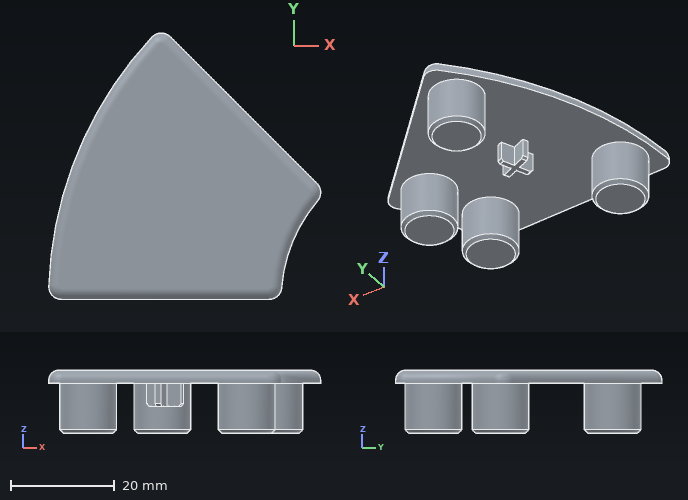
import cadquery as cq
import math

SECTOR_ANGLE = 45.0
OUTER_RADIUS = 74.27
INNER_RADIUS = 29.3
TOTAL_HEIGHT = 12.25
PLATE_THICKNESS = 2.6
CORNER_RADIUS = 2.5
TOP_FILLET = 2.0

PEG_DIAMETER = 11.0
PEG_LENGTH = TOTAL_HEIGHT - PLATE_THICKNESS
PEG_CHAMFER = 0.75
PEG_EDGE_OFFSET = 7.33
OUTER_PEG_DISTANCE = 66.6
INNER_PEG_DISTANCE = 36.0

CROSS_CENTRE_RADIUS = 56.0
CROSS_SPAN = 7.2
CROSS_ARM_WIDTH = 1.2
CROSS_DEPTH = 4.4
CROSS_END_CHAMFER = 0.5


def polar_point(radius, angle):
    """Point at a radius and an angle in degrees clockwise from -X."""
    radians = math.radians(angle)
    return (-radius * math.cos(radians), radius * math.sin(radians))


def make_plate():
    """Sector plate with rounded corners and a rounded top edge; underside at Z = 0."""
    middle_angle = SECTOR_ANGLE / 2
    outline = (
        cq.Workplane("XY")
        .moveTo(*polar_point(INNER_RADIUS, 0))
        .lineTo(*polar_point(OUTER_RADIUS, 0))
        .threePointArc(polar_point(OUTER_RADIUS, middle_angle), polar_point(OUTER_RADIUS, SECTOR_ANGLE))
        .lineTo(*polar_point(INNER_RADIUS, SECTOR_ANGLE))
        .threePointArc(polar_point(INNER_RADIUS, middle_angle), polar_point(INNER_RADIUS, 0))
        .close()
    )
    plate = outline.extrude(PLATE_THICKNESS)
    return plate.edges("|Z").fillet(CORNER_RADIUS).faces(">Z").edges().fillet(TOP_FILLET)


def make_pegs():
    """Two pairs of round pegs hanging from the plate, chamfered at their free ends."""
    centres = []
    for distance in (OUTER_PEG_DISTANCE, INNER_PEG_DISTANCE):
        radius = math.hypot(distance, PEG_EDGE_OFFSET)
        angle = math.degrees(math.atan2(PEG_EDGE_OFFSET, distance))
        centres.append(polar_point(radius, angle))
        centres.append(polar_point(radius, SECTOR_ANGLE - angle))
    pegs = cq.Workplane("XY").pushPoints(centres).circle(PEG_DIAMETER / 2).extrude(-PEG_LENGTH)
    return pegs.faces("<Z").edges().chamfer(PEG_CHAMFER)


def make_cross():
    """Cross post whose four arm ends are chamfered at the bottom."""
    bar = (
        cq.Workplane("XY")
        .rect(CROSS_SPAN, CROSS_ARM_WIDTH)
        .extrude(-CROSS_DEPTH)
        .faces("<Z")
        .edges("|Y")
        .chamfer(CROSS_END_CHAMFER)
    )
    crossing_bar = bar.rotate((0, 0, 0), (0, 0, 1), 90)
    cross = bar.union(crossing_bar).rotate((0, 0, 0), (0, 0, 1), -SECTOR_ANGLE / 2)
    centre_x, centre_y = polar_point(CROSS_CENTRE_RADIUS, SECTOR_ANGLE / 2)
    return cross.translate((centre_x, centre_y, 0))


result = make_plate().union(make_pegs()).union(make_cross())